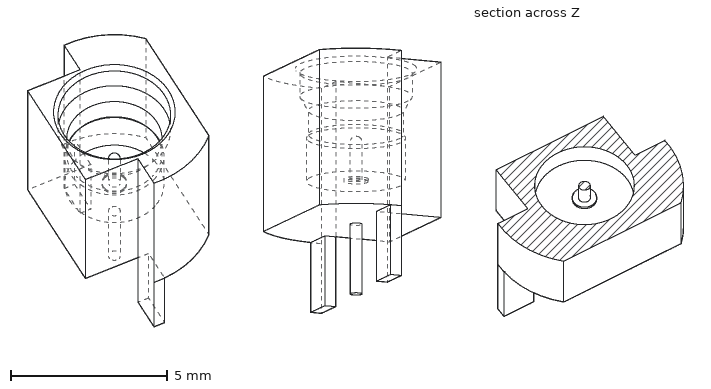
import cadquery as cq
import math

total_height = 7.37
leg_length = 2.285
body_height = total_height - leg_length

overall_width = 6.35
wing_radius = overall_width / 2
back_y = 2.26
front_y = -2.08
block_width = 4.08
leg_thickness = 0.38
leg_width = (overall_width - block_width) / 2

mouth_diameter = 3.89
entry_diameter = 3.605
throat_diameter = 3.05
chamber_diameter = 3.18
mouth_depth = 0.15
cone_start_depth = 0.91
cone_end_depth = 1.37
flare_start_depth = 2.15
flare_end_depth = 2.27
floor_depth = 3.685

pin_diameter = 0.38
pin_rise = 1.475
collar_diameter = 0.79
collar_height = 0.075


def make_body():
    """Block with a rounded wing on each side, cut flat at the back."""
    back_half_width = math.sqrt(wing_radius**2 - back_y**2)
    arc_middle = math.atan2(back_y, back_half_width) / 2
    mid_x = wing_radius * math.cos(arc_middle)
    mid_y = wing_radius * math.sin(arc_middle)
    wing_front_y = -leg_thickness / 2
    wing_front_x = math.sqrt(wing_radius**2 - wing_front_y**2)
    block_x = block_width / 2
    return (
        cq.Workplane("XY", origin=(0, 0, leg_length))
        .moveTo(-block_x, front_y)
        .lineTo(block_x, front_y)
        .lineTo(block_x, wing_front_y)
        .lineTo(wing_front_x, wing_front_y)
        .threePointArc((mid_x, mid_y), (back_half_width, back_y))
        .lineTo(-back_half_width, back_y)
        .threePointArc((-mid_x, mid_y), (-wing_front_x, wing_front_y))
        .lineTo(-block_x, wing_front_y)
        .close()
        .extrude(body_height)
    )


def make_leg(side):
    """Flat leg below the body; side is -1 or +1 along X."""
    center_x = side * (overall_width - leg_width) / 2
    return (
        cq.Workplane("XY")
        .center(center_x, 0)
        .rect(leg_width, leg_thickness)
        .extrude(leg_length)
    )


def make_bore():
    """Solid of revolution for the stepped bore and its wider bottom chamber."""
    profile = [
        (0, 0),
        (mouth_diameter / 2, 0),
        (entry_diameter / 2, -mouth_depth),
        (entry_diameter / 2, -cone_start_depth),
        (throat_diameter / 2, -cone_end_depth),
        (throat_diameter / 2, -flare_start_depth),
        (chamber_diameter / 2, -flare_end_depth),
        (chamber_diameter / 2, -floor_depth),
        (0, -floor_depth),
    ]
    return (
        cq.Workplane("XZ", origin=(0, 0, total_height))
        .polyline(profile)
        .close()
        .revolve(360, (0, 0, 0), (0, 1, 0))
    )


def make_contact():
    """Round-tipped pin through the floor, with a low collar in the bore."""
    floor_z = total_height - floor_depth
    pin_radius = pin_diameter / 2
    dome_z = floor_z + pin_rise - pin_radius
    pin = cq.Workplane("XY").circle(pin_radius).extrude(dome_z)
    dome = cq.Workplane("XY", origin=(0, 0, dome_z)).sphere(pin_radius)
    collar = (
        cq.Workplane("XY", origin=(0, 0, floor_z))
        .circle(collar_diameter / 2)
        .extrude(collar_height)
    )
    return pin.union(dome).union(collar)


shell = make_body()
for leg_side in (-1, 1):
    shell = shell.union(make_leg(leg_side))

result = shell.cut(make_bore()).union(make_contact())